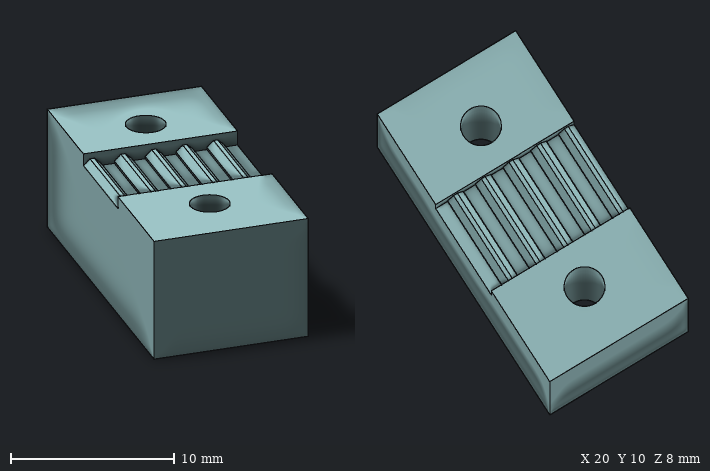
import cadquery as cq

length = 20.0
width = 10.0
height = 8.0

hole_diameter = 2.5
hole_spacing = 12.0

channel_width = 6.45
channel_depth = 0.95

tooth_pitch = 2.0
tooth_base_height = 0.15
tooth_flank_height = 0.4
tooth_tip_width = 0.28
tooth_flank_width = 0.43
tooth_root_width = tooth_tip_width + 2 * tooth_flank_width
tooth_count = int(width / tooth_pitch)

channel_floor = height - channel_depth


def make_block():
    return cq.Workplane("XY").box(length, width, height, centered=(True, True, False))


def make_channel():
    return (
        cq.Workplane("XY")
        .workplane(offset=channel_floor)
        .box(channel_width, width, channel_depth, centered=(True, True, False))
    )


def make_tooth(start_y):
    """One tooth whose root begins at start_y and extends towards +Y."""
    tip_start = start_y + tooth_flank_width
    tip_end = tip_start + tooth_tip_width
    end_y = start_y + tooth_root_width
    flank_z = channel_floor + tooth_base_height
    tip_z = flank_z + tooth_flank_height
    profile = [
        (start_y, channel_floor),
        (start_y, flank_z),
        (tip_start, tip_z),
        (tip_end, tip_z),
        (end_y, flank_z),
        (end_y, channel_floor),
    ]
    return cq.Workplane("YZ").polyline(profile).close().extrude(channel_width / 2, both=True)


def make_holes():
    return (
        cq.Workplane("XY")
        .pushPoints([(-hole_spacing / 2, 0), (hole_spacing / 2, 0)])
        .circle(hole_diameter / 2)
        .extrude(height)
    )


result = make_block().cut(make_channel())

for index in range(tooth_count):
    result = result.union(make_tooth(-width / 2 + index * tooth_pitch))

result = result.cut(make_holes()).clean()